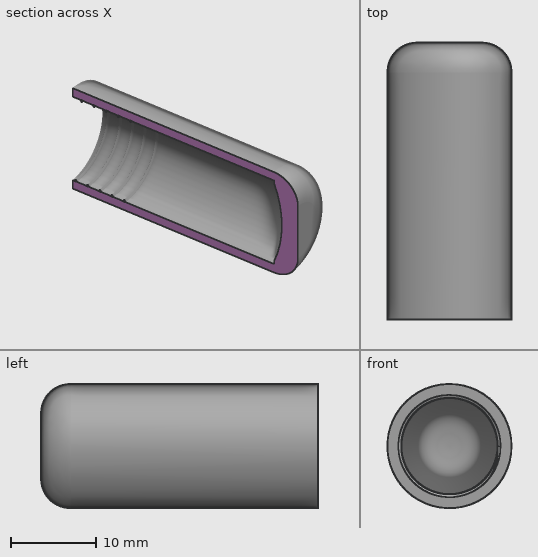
import cadquery as cq
import math

cap_length = 32.5
outer_radius = 7.295
end_rounding = 3.5
bore_radius = 5.995

bore_depth = cap_length - end_rounding
dome_edge_radius = 5.62
dome_sphere_radius = 14.62

thread_pitch = 1.75
thread_height = 0.32
thread_base_width = 0.4
thread_turns = 5
thread_root_overlap = 0.05


def dome_height(distance_from_axis):
    """Height of the dome above its edge at a distance from the axis."""
    edge_drop = math.sqrt(dome_sphere_radius**2 - dome_edge_radius**2)
    return math.sqrt(dome_sphere_radius**2 - distance_from_axis**2) - edge_drop


def make_bore():
    """Solid that fills the bore, including its domed end."""
    middle_radius = dome_edge_radius / 2
    return (
        cq.Workplane("XY")
        .lineTo(bore_radius, 0)
        .lineTo(bore_radius, bore_depth)
        .lineTo(dome_edge_radius, bore_depth)
        .threePointArc(
            (middle_radius, bore_depth + dome_height(middle_radius)),
            (0, bore_depth + dome_height(0)),
        )
        .close()
        .revolve(360, (0, 0, 0), (0, 1, 0))
    )


def make_cap(bore):
    """Round sleeve with a rounded closed end, hollowed by the bore."""
    body = (
        cq.Workplane("XZ")
        .circle(outer_radius)
        .extrude(-cap_length)
        .faces(">Y")
        .edges()
        .fillet(end_rounding)
    )
    return body.cut(bore)


def make_thread(bore):
    """Triangular ridge that starts at the open end, flush with the mouth."""
    root_radius = bore_radius + thread_root_overlap
    crest_radius = bore_radius - thread_height
    flank_slope = thread_base_width / 2 / thread_height
    root_half_width = flank_slope * (root_radius - crest_radius)
    path = cq.Wire.makeHelix(thread_pitch, thread_pitch * thread_turns, bore_radius)
    coil = (
        cq.Workplane("XZ")
        .moveTo(crest_radius, 0)
        .lineTo(root_radius, root_half_width)
        .lineTo(root_radius, -root_half_width)
        .close()
        .sweep(cq.Workplane(path), isFrenet=True)
        .rotate((0, 0, 0), (1, 0, 0), -90)
    )
    return coil.intersect(bore)


bore_space = make_bore()
cap = make_cap(bore_space)
thread = make_thread(bore_space)

result = cq.Compound.makeCompound([cap.val(), *thread.solids().vals()])